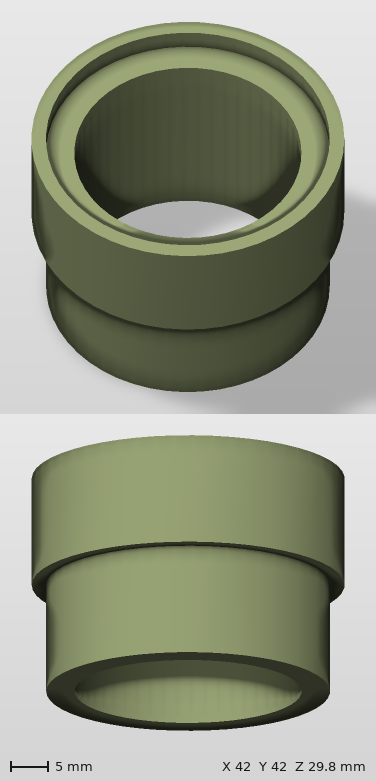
import cadquery as cq

collar_diameter = 42.0
spigot_diameter = 38.1
bore_diameter = 30.5
total_height = 29.75
spigot_height = total_height / 2
seat_depth = 2.8

spigot = cq.Workplane("XY").circle(spigot_diameter / 2).extrude(spigot_height)
collar = (
    cq.Workplane("XY")
    .workplane(offset=spigot_height)
    .circle(collar_diameter / 2)
    .extrude(total_height - spigot_height)
)
bore = cq.Workplane("XY").circle(bore_diameter / 2).extrude(total_height)
seat = (
    cq.Workplane("XY")
    .workplane(offset=total_height - seat_depth)
    .circle(spigot_diameter / 2)
    .extrude(seat_depth)
)

result = spigot.union(collar).cut(bore).cut(seat)